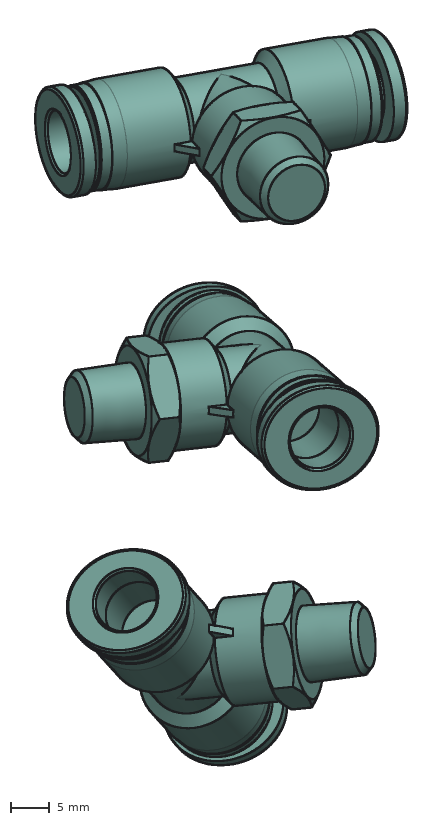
import cadquery as cq
import math


socket_radius = 7.2
waist_radius = 5.6
waist_half_length = 6.0
shoulder_length = 1.2
shoulder_end = waist_half_length + shoulder_length
taper_start = 16.0
collar_start = 18.0
run_half_length = 19.65
taper_end_radius = 7.05
collar_radius = 6.95
collar_chamfer = 0.2

branch_radius = 7.0
branch_end = 13.5

web_thickness = 1.0
web_reach = 16.65

flange_width = 16.0
flange_height = 14.1
flange_thickness = 2.0
flange_chamfer = 0.3
flange_end = 22.7
neck_radius = 9.7 / 2
bore_radius = 8.2 / 2
bore_chamfer = 0.3
sleeve_length = 4.7
sleeve_inner_end = flange_end - sleeve_length
tube_depth = 12.0
tube_stop = flange_end - tube_depth

hex_across_flats = 14.4
hex_length = 4.0
hex_face_radius = 7.15
hex_chamfer_angle = 30
hex_end = branch_end + hex_length
stud_end = 25.5
thread_base_radius = 4.97
thread_taper = 1 / 16
thread_chamfer = 0.8


def revolve_about_y(points):
    """Solid of revolution from (radius, y) points."""
    return cq.Workplane("XY").polyline(points).close().revolve(360, (0, 0, 0), (0, 1, 0))


def revolve_about_x(points):
    """Solid of revolution from (x, radius) points."""
    return cq.Workplane("XY").polyline(points).close().revolve(360, (0, 0, 0), (1, 0, 0))


def along_y(start, end, side):
    """XZ workplane at the run position `start` on the given side, and the extrusion that reaches `end`."""
    plane = cq.Workplane("XZ", origin=(0, side * start, 0))
    return plane, -side * (end - start)


def make_run():
    half_profile = [
        (waist_radius, waist_half_length),
        (socket_radius, shoulder_end),
        (socket_radius, taper_start),
        (taper_end_radius, collar_start),
        (collar_radius, collar_start),
        (collar_radius, run_half_length - collar_chamfer),
        (collar_radius - collar_chamfer, run_half_length),
    ]
    mirrored = [(radius, -y) for radius, y in reversed(half_profile)]
    return revolve_about_y([(0, -run_half_length)] + mirrored + half_profile + [(0, run_half_length)])


def make_branch():
    return revolve_about_x(
        [
            (0, 0),
            (0, waist_radius),
            (waist_half_length, waist_radius),
            (shoulder_end, branch_radius),
            (branch_end, branch_radius),
            (branch_end, 0),
        ]
    )


def make_webs():
    outline = [(0, -web_reach), (web_reach, 0), (0, web_reach)]
    webs = cq.Workplane("XY").polyline(outline).close().extrude(web_thickness / 2, both=True)
    return webs.intersect(cq.Workplane("XY").box(2 * branch_end, 2 * web_reach, web_thickness))


def make_tee():
    tee = make_run().union(make_branch()).union(make_webs())
    for side in (-1, 1):
        plane, length = along_y(tube_stop, run_half_length, side)
        tee = tee.cut(plane.circle(bore_radius).extrude(length))
        plane, length = along_y(sleeve_inner_end, run_half_length, side)
        tee = tee.cut(plane.circle(neck_radius).extrude(length))
    return tee


def make_sleeve(side):
    plane, length = along_y(sleeve_inner_end, flange_end, side)
    neck = plane.circle(neck_radius).extrude(length)
    bore = plane.circle(bore_radius).extrude(length)

    plane, length = along_y(flange_end - flange_thickness, flange_end, side)
    flange = plane.ellipse(flange_width / 2, flange_height / 2).extrude(length)
    outer_face = ">Y" if side > 0 else "<Y"
    flange = flange.faces(outer_face).chamfer(flange_chamfer)

    sleeve = neck.union(flange).cut(bore)
    bore_rim = cq.selectors.RadiusNthSelector(0)
    return sleeve.faces(outer_face).edges(bore_rim).chamfer(bore_chamfer)


def make_hexagon():
    corner_radius = hex_across_flats / 2 / math.cos(math.pi / 6)
    chamfer_length = (corner_radius - hex_face_radius) * math.tan(math.radians(hex_chamfer_angle))
    prism = (
        cq.Workplane("YZ", origin=(branch_end, 0, 0))
        .polygon(6, 2 * corner_radius)
        .extrude(hex_length)
    )
    chamfer_envelope = revolve_about_x(
        [
            (branch_end, 0),
            (branch_end, hex_face_radius),
            (branch_end + chamfer_length, corner_radius),
            (hex_end - chamfer_length, corner_radius),
            (hex_end, hex_face_radius),
            (hex_end, 0),
        ]
    )
    return prism.intersect(chamfer_envelope)


def make_stud():
    chamfer_start = stud_end - thread_chamfer
    thread_tip_radius = thread_base_radius - (chamfer_start - hex_end) * thread_taper / 2
    thread = revolve_about_x(
        [
            (hex_end, 0),
            (hex_end, thread_base_radius),
            (chamfer_start, thread_tip_radius),
            (stud_end, thread_tip_radius - thread_chamfer),
            (stud_end, 0),
        ]
    )
    return make_hexagon().union(thread)


tee = make_tee()
stud = make_stud()
sleeves = [make_sleeve(side) for side in (-1, 1)]

result = cq.Compound.makeCompound([tee.val(), stud.val(), *[sleeve.val() for sleeve in sleeves]])